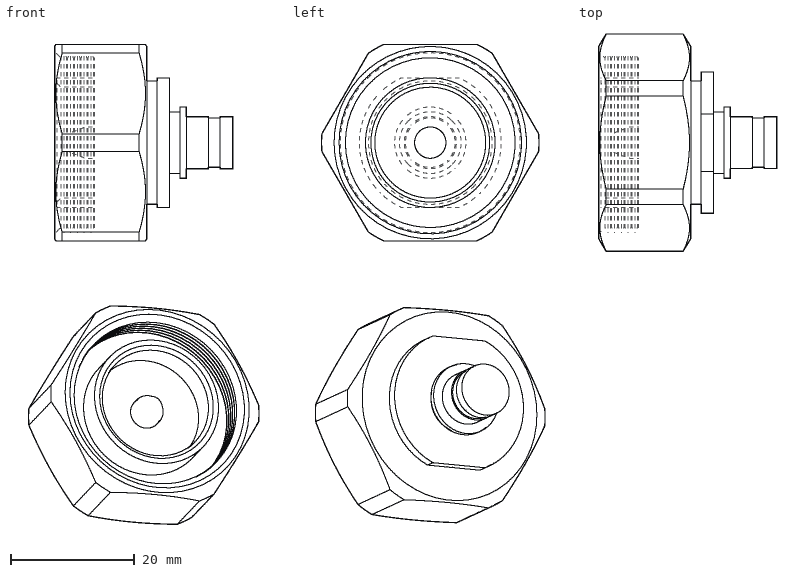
import cadquery as cq
import math


across_flats = 31.85
corner_radius = 17.6
nut_length = 14.95
nut_face_radius = 15.57
nut_bevel_length = 1.25

mouth_radius = 14.75
thread_minor_radius = 13.75
mouth_bevel_length = mouth_radius - thread_minor_radius
thread_pitch = 1.1
thread_turns = 5
thread_flank_angle = 60.0
crest_width = 0.15
cavity_depth = mouth_bevel_length + thread_turns * thread_pitch

sleeve_front = 0.4
sleeve_radius = 10.5
sleeve_mouth_radius = 9.62
sleeve_bore_radius = 9.0
sleeve_bevel_length = sleeve_mouth_radius - sleeve_bore_radius
sleeve_floor = 6.75

pin_front = 2.5
pin_shoulder = 5.0
pin_tip_radius = 1.6
pin_radius = 2.55
pin_tip_round = 0.2
pin_shoulder_round = 0.53

hub_step = (10.0, 16.6)
flange_step = (11.5, 18.65)
neck_step = (5.0, 20.3)
collar_step = (5.78, 21.35)
tail_step = (4.23, 24.9)
crimp_groove_step = (4.0, 26.8)
end_step = (4.23, 28.9)
rear_steps = [hub_step, flange_step, neck_step, collar_step, tail_step, crimp_groove_step, end_step]
flange_across_flats = 21.0


def turned(points):
    """Revolve a closed outline of (X, radius) points about the X axis."""
    return cq.Workplane("XY").polyline(points).close().revolve(360, (0, 0, 0), (1, 0, 0))


def cylinder(radius, start, end):
    """Solid cylinder about the X axis between two X positions."""
    return cq.Workplane("YZ", origin=(start, 0, 0)).circle(radius).extrude(end - start)


def make_nut():
    """Hexagonal prism with flats facing +Z and -Z, its corners turned and beveled at both ends."""
    hexagon = cq.Workplane("YZ").polygon(6, across_flats / math.cos(math.pi / 6)).extrude(nut_length)
    blank = turned([
        (0, 0),
        (0, nut_face_radius),
        (nut_bevel_length, corner_radius),
        (nut_length - nut_bevel_length, corner_radius),
        (nut_length, nut_face_radius),
        (nut_length, 0),
    ])
    return hexagon.intersect(blank)


def make_cavity():
    """Beveled bore with a row of ring-shaped V grooves standing for the thread."""
    groove_half_width = (thread_pitch - crest_width) / 2
    groove_depth = groove_half_width * math.tan(math.radians(thread_flank_angle))
    outline = [(0, 0), (0, mouth_radius), (mouth_bevel_length, thread_minor_radius)]
    for turn in range(thread_turns):
        groove_start = mouth_bevel_length + turn * thread_pitch
        groove_middle = groove_start + groove_half_width
        groove_end = groove_middle + groove_half_width
        outline.append((groove_middle, thread_minor_radius + groove_depth))
        outline.append((groove_end, thread_minor_radius))
        outline.append((groove_start + thread_pitch, thread_minor_radius))
    outline.append((cavity_depth, 0))
    return turned(outline)


def make_sleeve():
    """Plain tube with a beveled mouth, closed by the insulator face at its floor."""
    bore = turned([
        (sleeve_front, 0),
        (sleeve_front, sleeve_mouth_radius),
        (sleeve_front + sleeve_bevel_length, sleeve_bore_radius),
        (sleeve_floor, sleeve_bore_radius),
        (sleeve_floor, 0),
    ])
    return cylinder(sleeve_radius, sleeve_front, nut_length).cut(bore)


def make_pin():
    """Round pin with a conical nose and a rounded tip and shoulder."""
    pin = turned([
        (pin_front, 0),
        (pin_front, pin_tip_radius),
        (pin_shoulder, pin_radius),
        (nut_length, pin_radius),
        (nut_length, 0),
    ])
    shoulder_circle = pin.faces("%CONE").edges("%CIRCLE").edges(">X")
    pin = shoulder_circle.fillet(pin_shoulder_round)
    return pin.faces("<X").edges().fillet(pin_tip_round)


def make_rear_body():
    """Stepped cylinders behind the nut; the flange has flats facing +Z and -Z."""
    body = cq.Workplane("YZ")
    start = nut_length
    for step in rear_steps:
        radius, end = step
        section = cylinder(radius, start, end)
        if step == flange_step:
            flats = cq.Workplane("YZ", origin=(start, 0, 0)).rect(2 * radius, flange_across_flats)
            section = section.intersect(flats.extrude(end - start))
        body = body.add(section)
        start = end
    return body.combine()


shell = make_nut().cut(make_cavity())
result = shell.union(make_sleeve()).union(make_pin()).union(make_rear_body())